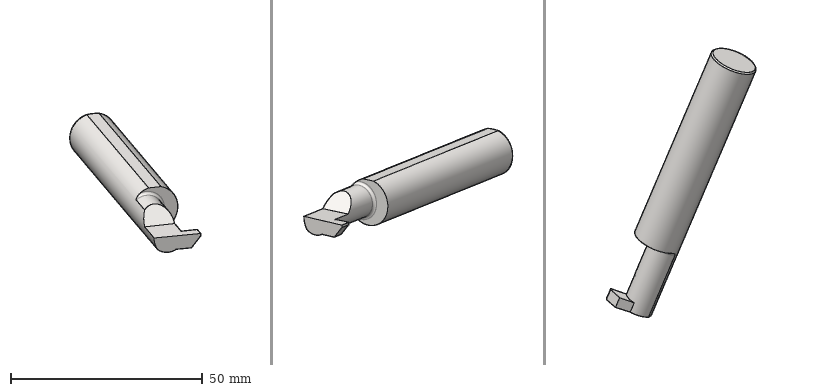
import cadquery as cq
import math

total_length = 76.2
shank_radius = 6.3
shank_length = 55.8
rear_chamfer = 0.4
flat_height = 6.1

neck_radius = 4.4
neck_side = 1.9
neck_center_y = neck_side - neck_radius
root_fillet = 0.8

rake_start = 67.35
runout_angle = 46.0
hook_start = 73.1
hook_tip_height = 0.7
hook_relief_width = 2.5
hook_depth = 3.8
end_relief_angle = 2.0


def make_shank():
    shank = cq.Workplane("YZ").circle(shank_radius).extrude(shank_length).faces("<X").chamfer(rear_chamfer)
    above_flat = (
        cq.Workplane("XY", origin=(0, 0, flat_height))
        .rect(2 * shank_length, 2 * shank_radius)
        .extrude(shank_radius)
    )
    return shank.cut(above_flat)


def make_neck():
    """Round neck with a flared root, kept inside the shank envelope."""
    flare_radius = neck_radius + root_fillet
    neck_profile = (
        cq.Workplane("XZ")
        .moveTo(shank_length, 0)
        .lineTo(shank_length, flare_radius)
        .radiusArc((shank_length + root_fillet, neck_radius), -root_fillet)
        .lineTo(total_length, neck_radius)
        .lineTo(total_length, 0)
        .close()
    )
    neck = neck_profile.revolve(360, (0, 0, 0), (1, 0, 0)).translate((0, neck_center_y, 0))
    envelope = cq.Workplane("YZ").circle(shank_radius).extrude(total_length)
    return neck.intersect(envelope)


def make_rake_cutter():
    """Clears the upper half of the cutting end and leaves a sloped run-out."""
    height = shank_radius
    runout_length = height / math.tan(math.radians(runout_angle))
    return (
        cq.Workplane("XZ")
        .moveTo(rake_start, 0)
        .lineTo(total_length, 0)
        .lineTo(total_length, height)
        .lineTo(rake_start - runout_length, height)
        .close()
        .extrude(shank_radius, both=True)
    )


def make_hook():
    """Side tooth whose underside slopes away below its cutting edge."""
    return (
        cq.Workplane("YZ", origin=(hook_start, 0, 0))
        .moveTo(neck_center_y, 0)
        .lineTo(shank_radius, 0)
        .lineTo(shank_radius, -hook_tip_height)
        .lineTo(shank_radius - hook_relief_width, -hook_depth)
        .lineTo(neck_center_y, -hook_depth)
        .close()
        .extrude(total_length - hook_start)
    )


def make_end_relief():
    """Wedge that tilts the end face back from the hook tip."""
    width = 2 * shank_radius
    setback = width * math.tan(math.radians(end_relief_angle))
    return (
        cq.Workplane("XY")
        .moveTo(total_length, shank_radius)
        .lineTo(total_length, -shank_radius)
        .lineTo(total_length - setback, -shank_radius)
        .close()
        .extrude(shank_radius, both=True)
    )


neck = make_neck().cut(make_rake_cutter())
cutting_end = neck.union(make_hook()).cut(make_end_relief())
result = make_shank().union(cutting_end)